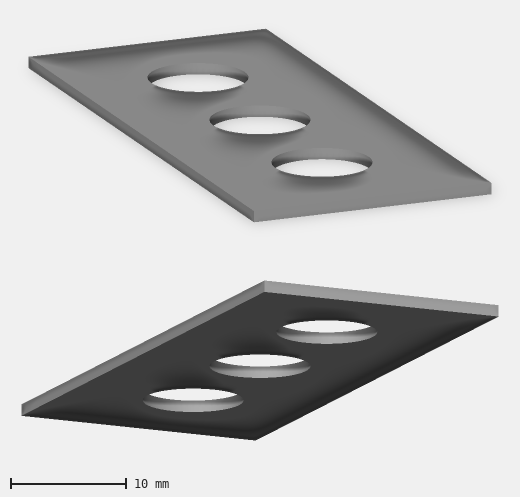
import cadquery as cq

length = 50.8
width = 22.25
thickness = 1

hole_diameter = 8.75
hole_count = 3
hole_pitch = 13.95

plate = cq.Workplane("XY").box(length, width, thickness)

result = (
    plate.faces(">Z")
    .workplane()
    .rarray(hole_pitch, 0.5, hole_count, 1)
    .hole(hole_diameter)
)